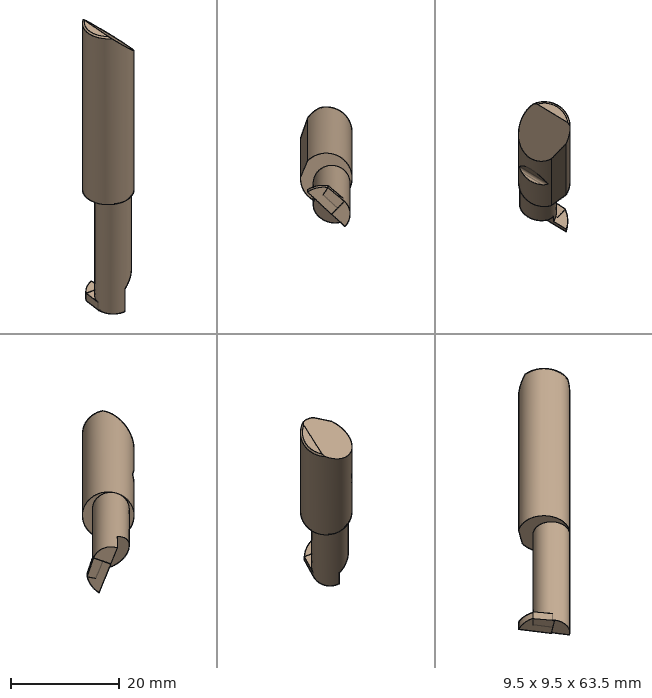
import cadquery as cq

length = 63.5
shank_radius = 4.75
shank_base = 25.4

rim_width = 0.4
rim_height = 0.25
bevel_edge_y = -2.85
flat_distance = 4.45
flat_angle = 159.0
notch_bottom = 40.3
notch_top = 48.6
notch_floor_y = 3.55
notch_fillet = 0.6

neck_radius = 3.4
neck_center_x = shank_radius - neck_radius
neck_bottom = 0.2
rake_y = 0.0
rake_top = 5.4

tip_x = -shank_radius
tip_thickness = 1.9
tip_relief = 0.2
flank_middle = (-4.0, -1.8)
heel = (-2.6, -3.2)
shoulder_bottom = 0.095
shoulder_top = 1.85


def make_shank():
    """Cylinder with a low cone at its top rim."""
    profile = [
        (0, shank_base),
        (shank_radius, shank_base),
        (shank_radius, length - rim_height),
        (shank_radius - rim_width, length),
        (0, length),
    ]
    return cq.Workplane("XZ").polyline(profile).close().revolve(360, (0, 0), (0, 1))


def prism_along_x(outline):
    """Solid spanning the shank's width, from an outline in Y and Z."""
    return cq.Workplane("YZ").polyline(outline).close().extrude(shank_radius, both=True)


def bevel_cutter():
    run = shank_radius - bevel_edge_y
    return prism_along_x([
        (bevel_edge_y, length),
        (shank_radius, length - run),
        (shank_radius, length),
    ])


def side_flat_cutter():
    return (
        cq.Workplane("XY")
        .box(shank_radius, 2 * shank_radius, length, centered=(False, True, False))
        .translate((flat_distance, 0, 0))
        .rotate((0, 0, 0), (0, 0, 1), flat_angle)
    )


def notch_cutter():
    cutter = prism_along_x([
        (shank_radius, notch_bottom),
        (notch_floor_y, notch_bottom),
        (shank_radius, notch_top),
    ])
    return cutter.edges("|X").edges("<Y").fillet(notch_fillet)


def make_neck():
    neck = (
        cq.Workplane("XY", origin=(neck_center_x, 0, neck_bottom))
        .circle(neck_radius)
        .extrude(shank_base - neck_bottom)
    )
    run = shank_radius - rake_y
    return neck.cut(prism_along_x([
        (rake_y, 0),
        (rake_y, rake_top),
        (shank_radius, rake_top + run),
        (shank_radius, 0),
    ]))


def make_tip():
    """Cutting tip with a curved flank, thinning from the rake face to its heel."""
    plan = (
        cq.Workplane("XY")
        .moveTo(tip_x, rake_y)
        .threePointArc(flank_middle, heel)
        .lineTo(neck_center_x, -neck_radius)
        .lineTo(neck_center_x, rake_y)
        .close()
        .extrude(tip_thickness)
    )
    relief = prism_along_x([
        (rake_y, 0),
        (rake_y, tip_thickness),
        (heel[1], tip_thickness - tip_relief),
        (-shank_radius, tip_thickness - tip_relief),
        (-shank_radius, tip_relief),
        (heel[1], tip_relief),
    ])
    return plan.intersect(relief)


def make_shoulder():
    """Block that backs the tip and blends into the neck."""
    return (
        cq.Workplane("XY", origin=(0, 0, shoulder_bottom))
        .moveTo(*heel)
        .lineTo(neck_center_x, -neck_radius)
        .lineTo(neck_center_x, rake_y)
        .lineTo(neck_center_x - neck_radius, rake_y)
        .close()
        .extrude(shoulder_top - shoulder_bottom)
    )


shank = make_shank().cut(bevel_cutter()).cut(side_flat_cutter()).cut(notch_cutter())
result = shank.union(make_neck()).union(make_tip()).union(make_shoulder())